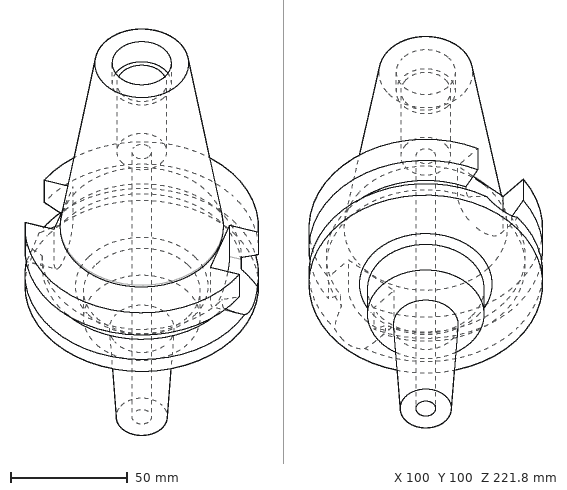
import cadquery as cq
import math

total_height = 221.8
gauge_plane_z = 120.0
flange_top_z = 118.9
flange_bottom_z = 82.0
lower_rim_top_z = flange_bottom_z + 7.5
groove_bottom_z = flange_bottom_z + 12.2
groove_top_z = flange_bottom_z + 18.5
upper_rim_bottom_z = flange_bottom_z + 22.8
neck_top_z = flange_bottom_z - 3.0
neck_bottom_z = flange_bottom_z - 20.0
nose_top_z = flange_bottom_z - 26.8

flange_diameter = 100.0
groove_diameter = 85.2
taper_large_diameter = 69.9
taper_ratio = 7 / 24
taper_small_diameter = taper_large_diameter - taper_ratio * (total_height - gauge_plane_z)
neck_diameter = 50.0
neck_flare_diameter = 56.8
nose_tip_diameter = 22.0
nose_half_angle = 3.0
nose_root_diameter = nose_tip_diameter + 2 * nose_top_z * math.tan(math.radians(nose_half_angle))

slot_width = 26.0
slot_floor_x = 35.3
slot_bottom_z = flange_bottom_z + 4.2

entry_diameter = 25.3
entry_depth = 12.6
thread_diameter = 21.3
thread_depth = 55.5
through_diameter = 8.5


def turned_body():
    """Taper, grooved flange, neck and nose revolved about Z."""
    diameters_and_heights = [
        (nose_tip_diameter, 0),
        (nose_root_diameter, nose_top_z),
        (neck_diameter, neck_bottom_z),
        (neck_diameter, neck_top_z),
        (neck_flare_diameter, flange_bottom_z),
        (flange_diameter, flange_bottom_z),
        (flange_diameter, lower_rim_top_z),
        (groove_diameter, groove_bottom_z),
        (groove_diameter, groove_top_z),
        (flange_diameter, upper_rim_bottom_z),
        (flange_diameter, flange_top_z),
        (taper_large_diameter, flange_top_z),
        (taper_large_diameter, gauge_plane_z),
        (taper_small_diameter, total_height),
    ]
    outline = [(diameter / 2, z) for diameter, z in diameters_and_heights]
    profile = cq.Workplane("XZ").polyline([(0, 0)] + outline + [(0, total_height)]).close()
    return profile.revolve(360, (0, 0, 0), (0, 1, 0))


def drive_slot(side):
    """Round-bottomed slot cutter; side is +1 or -1 along X."""
    half_width = slot_width / 2
    arc_center_z = slot_bottom_z + half_width
    cutter = (
        cq.Workplane("YZ", origin=(side * slot_floor_x, 0, 0))
        .moveTo(-half_width, flange_top_z)
        .lineTo(-half_width, arc_center_z)
        .threePointArc((0, slot_bottom_z), (half_width, arc_center_z))
        .lineTo(half_width, flange_top_z)
        .close()
    )
    return cutter.extrude(side * flange_diameter / 2)


def bore(diameter, depth):
    """Cylinder cut down from the small end of the taper."""
    return cq.Workplane("XY", origin=(0, 0, total_height)).circle(diameter / 2).extrude(-depth)


result = turned_body()
for side in (-1, 1):
    result = result.cut(drive_slot(side))

bore_steps = [
    (entry_diameter, entry_depth),
    (thread_diameter, thread_depth),
    (through_diameter, total_height),
]
for diameter, depth in bore_steps:
    result = result.cut(bore(diameter, depth))